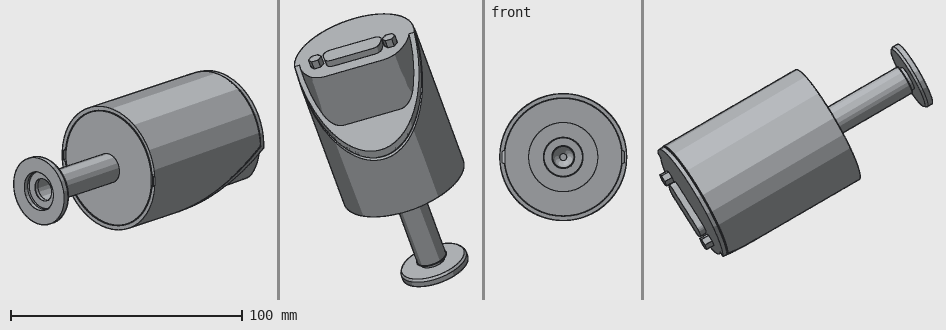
import cadquery as cq
import math

total_length = 117.0
rear_y = total_length / 2
front_y = -total_length / 2

body_radius = 27.5
body_front_y = -14.4
cut_angle = 35.0
post_length = 3.6
cover_thickness = 2.0
cover_radius = 27.3
seam_width = 0.5
seam_radius = 26.7
cover_rear_y = rear_y - post_length
seam_rear_y = cover_rear_y - cover_thickness
body_rear_y = seam_rear_y - seam_width

end_ring_radius = 25.6
end_ring_width = 0.2
end_ring_depth = 0.4
notch_height = 5.6
notch_inner_x = 25.3
notch_outer_x = 26.6
notch_chamfer = 0.7
notch_inner_depth = 0.7
notch_outer_depth = 1.9

housing_radius = 24.9
housing_bottom_z = -18.4
housing_corner_radius = 9.4
housing_draft = 1.0
housing_length = 46.8

tube_diameter = 13.0
tube_end_y = -53.4
lip_diameter = 13.6
lip_length = 0.2
neck_diameter = 10.8
flange_diameter = 30.0
flange_thickness = 3.5
flange_chamfer_radial = 0.7
flange_chamfer_axial = 1.2

recess_diameter = 17.2
recess_depth = 2.8
recess_floor_diameter = 16.6
recess_taper_length = 0.7
bore_diameter = 10.0
bore_end_y = -18.7
dome_diameter = 9.2
dome_end_diameter = 5.5
tip_diameter = 3.0
tip_length = 1.2

connector_z = -6.1
post_spacing = 33.5
post_corner_diameter = 5.8
shell_width = 27.6
shell_height = 9.7
shell_corner_radius = 3.3
shell_slant = 10.0
shell_length = 2.9


def rod(diameter, y_start, y_end):
    """Cylinder on the part's axis between two Y positions."""
    return cq.Workplane("XZ", origin=(0, y_end, 0)).circle(diameter / 2).extrude(y_end - y_start)


def bent_slab(rear_face_y):
    """Everything in front of a bent rear face: upright above, sloping forward below.

    Faces at different rear_face_y are parallel offsets of one another.
    """
    reach = 2 * body_radius
    offset = rear_face_y - body_rear_y
    bend_z = -offset * math.tan(math.radians(90 - cut_angle) / 2)
    slope_end_z = bend_z - reach
    slope_end_y = rear_face_y - reach / math.tan(math.radians(cut_angle))
    return (
        cq.Workplane("YZ", origin=(-reach, 0, 0))
        .moveTo(rear_face_y, reach)
        .lineTo(rear_face_y, bend_z)
        .lineTo(slope_end_y, slope_end_z)
        .lineTo(front_y - reach, slope_end_z)
        .lineTo(front_y - reach, reach)
        .close()
        .extrude(2 * reach)
    )


def bent_cylinder(radius, rear_face_y):
    return rod(2 * radius, body_front_y, cover_rear_y).intersect(bent_slab(rear_face_y))


def draw_housing_section(plane, growth):
    """Circle cut by a flat bottom with rounded corners, grown outward by an offset."""
    radius = housing_radius + growth
    bottom_z = housing_bottom_z - growth
    corner_radius = housing_corner_radius + growth
    corner_z = bottom_z + corner_radius
    corner_x = math.sqrt((radius - corner_radius) ** 2 - corner_z**2)
    to_circle = radius / (radius - corner_radius)
    side_x = corner_x * to_circle
    side_z = corner_z * to_circle
    middle_angle = (math.atan2(corner_z, corner_x) - math.pi / 2) / 2
    middle_x = corner_x + corner_radius * math.cos(middle_angle)
    middle_z = corner_z + corner_radius * math.sin(middle_angle)
    return (
        plane.moveTo(-side_x, side_z)
        .threePointArc((0, radius), (side_x, side_z))
        .threePointArc((middle_x, middle_z), (corner_x, bottom_z))
        .lineTo(-corner_x, bottom_z)
        .threePointArc((-middle_x, middle_z), (-side_x, side_z))
        .close()
    )


def make_housing():
    """Drafted block with cylindrical sides and a flat bottom, behind the slope."""
    growth = housing_length * math.tan(math.radians(housing_draft))
    rear = draw_housing_section(cq.Workplane("XZ", origin=(0, cover_rear_y, 0)), 0)
    block = draw_housing_section(rear.workplane(offset=housing_length), growth).loft(ruled=True)
    return block.cut(bent_slab(seam_rear_y))


def make_connector():
    """D-shaped connector shell, wider at its top, between two hexagonal posts."""
    top_z = connector_z + shell_height / 2
    bottom_z = connector_z - shell_height / 2
    bottom_half_width = shell_width / 2 - shell_height * math.tan(math.radians(shell_slant))
    connector = (
        cq.Workplane("XZ", origin=(0, cover_rear_y + shell_length, 0))
        .moveTo(-shell_width / 2, top_z)
        .lineTo(shell_width / 2, top_z)
        .lineTo(bottom_half_width, bottom_z)
        .lineTo(-bottom_half_width, bottom_z)
        .close()
        .extrude(shell_length + cover_thickness)
        .edges("|Y")
        .fillet(shell_corner_radius)
    )
    for x in (-post_spacing / 2, post_spacing / 2):
        post = (
            cq.Workplane("XZ", origin=(x, rear_y, connector_z))
            .polygon(6, post_corner_diameter)
            .extrude(post_length + cover_thickness)
        )
        connector = connector.union(post)
    return connector


def make_tube_and_flange():
    flange_rear_y = front_y + flange_thickness
    flange_radius = flange_diameter / 2
    flange = (
        cq.Workplane("XY")
        .moveTo(0, front_y)
        .lineTo(flange_radius, front_y)
        .lineTo(flange_radius, flange_rear_y - flange_chamfer_axial)
        .lineTo(flange_radius - flange_chamfer_radial, flange_rear_y)
        .lineTo(0, flange_rear_y)
        .close()
        .revolve(360, (0, 0, 0), (0, 1, 0))
    )
    tube = rod(tube_diameter, tube_end_y, body_front_y)
    lip = rod(lip_diameter, tube_end_y, tube_end_y + lip_length)
    neck = rod(neck_diameter, front_y, tube_end_y)
    return flange.union(neck).union(tube).union(lip)


def make_bore():
    """Flange recess, straight bore and the dome and short cone that close it."""
    recess_floor_y = front_y + recess_depth
    dome_radius = dome_diameter / 2
    dome_end_angle = math.acos(dome_end_diameter / dome_diameter)
    dome_end_y = bore_end_y + dome_radius * math.sin(dome_end_angle)
    dome_middle_x = dome_radius * math.cos(dome_end_angle / 2)
    dome_middle_y = bore_end_y + dome_radius * math.sin(dome_end_angle / 2)
    tip_y = dome_end_y + tip_length
    return (
        cq.Workplane("XY")
        .moveTo(0, front_y)
        .lineTo(recess_diameter / 2, front_y)
        .lineTo(recess_diameter / 2, recess_floor_y - recess_taper_length)
        .lineTo(recess_floor_diameter / 2, recess_floor_y)
        .lineTo(bore_diameter / 2, recess_floor_y)
        .lineTo(bore_diameter / 2, bore_end_y)
        .lineTo(dome_radius, bore_end_y)
        .threePointArc((dome_middle_x, dome_middle_y), (dome_end_diameter / 2, dome_end_y))
        .lineTo(tip_diameter / 2, tip_y)
        .lineTo(0, tip_y)
        .close()
        .revolve(360, (0, 0, 0), (0, 1, 0))
    )


def make_end_groove():
    return (
        cq.Workplane("XZ", origin=(0, body_front_y + end_ring_depth, 0))
        .circle(end_ring_radius)
        .circle(end_ring_radius - end_ring_width)
        .extrude(end_ring_depth)
    )


def make_notch():
    """Pocket in the front rim whose floor gets deeper towards the outside."""
    return (
        cq.Workplane("XY", origin=(0, 0, -notch_height / 2))
        .moveTo(notch_inner_x, body_front_y)
        .lineTo(notch_outer_x, body_front_y)
        .lineTo(notch_outer_x, body_front_y + notch_outer_depth)
        .lineTo(notch_inner_x, body_front_y + notch_inner_depth)
        .close()
        .extrude(notch_height)
        .faces(">X")
        .edges("|Y")
        .chamfer(notch_chamfer)
    )


seam_core = bent_cylinder(seam_radius, seam_rear_y)
cover = bent_cylinder(cover_radius, cover_rear_y).cut(bent_slab(seam_rear_y))
result = bent_cylinder(body_radius, body_rear_y).union(seam_core).union(cover)
result = result.union(make_housing()).union(make_connector()).union(make_tube_and_flange())
result = result.cut(make_bore()).cut(make_end_groove())

notch = make_notch()
result = result.cut(notch).cut(notch.mirror("YZ"))